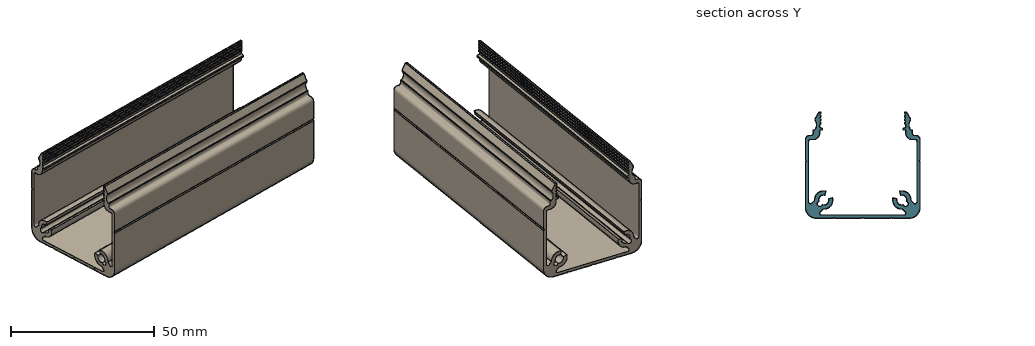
import cadquery as cq
import math

length = 100.0
width = 40.0
height = 37.0
wall = 1.2
corner_radius = 4.0

left = -width / 2
wall_inside = left + wall

shoulder_top = 28.9
shoulder_bottom = 27.4
shoulder_radius = 1.5
shoulder_inner_radius = 0.5
elbow_radius = 2.4

lip_inside = -14.9
lip_outside = -17.3
lip_step = 30.7
step_fillet = 0.7
barb_tip = -16.7
barb_bottom = 34.2
barb_top = 34.5
tip_outside = -15.3
neck_foot = -16.9
neck_waist = -16.1

prong_tip = -14.0
prong_bottom = 30.7
prong_tip_top = 31.3
prong_root_top = 31.7
pad_face = -14.6
pad_bottom = 32.8
serration_top = 36.1
serration_pitch = 1.2
serration_count = 3
serration_half_height = 0.35

port_offset = 6.4
port_radius = 1.7
port_outer_radius = 3.2
port_opening = 60.0
relief_offset = 5.1
relief_radius = 0.9
pocket_radius = 0.6
pocket_end = 5.1

groove_depth = 0.3
groove_half_width = 0.4
wall_groove_height = 20.0
floor_groove_spacing = 10.0


def profile_plane():
    """XZ workplane at the +Y end, so extruding by the length centres the part on Y."""
    return cq.Workplane("XZ", origin=(0, length / 2, 0))


def prism(points):
    return profile_plane().polyline(points).close().extrude(length)


def rod(x, z, radius):
    return profile_plane().center(x, z).circle(radius).extrude(length)


def polar(center, radius, degrees):
    """Point on a circle, with the angle counted from +X toward +Z."""
    angle = math.radians(degrees)
    return (center[0] + radius * math.cos(angle), center[1] + radius * math.sin(angle))


def make_half_outline():
    """Half floor, corner web, side wall, shoulder and lip as one closed outline."""
    corner = (left + corner_radius, corner_radius)
    shoulder = (left + shoulder_radius, shoulder_top - shoulder_radius)
    step = (lip_outside - step_fillet, shoulder_top + step_fillet)
    elbow = (lip_inside - elbow_radius, shoulder_bottom + elbow_radius)
    inner = (wall_inside + shoulder_inner_radius, shoulder_bottom - shoulder_inner_radius)
    neck_middle = (neck_waist, (barb_bottom + lip_step) / 2)

    pocket_near = wall + pocket_radius
    pocket_far = pocket_end + pocket_radius
    wall_pocket = (left + pocket_near, pocket_far)
    floor_pocket = (left + pocket_far, pocket_near)
    port = (left + port_offset, port_offset)
    wall_web = polar(wall_pocket, pocket_radius, 315)
    floor_web = polar(floor_pocket, pocket_radius, 135)
    web_rise = port_offset - wall_web[1]

    return (
        profile_plane()
        .moveTo(0, 0)
        .lineTo(corner[0], 0)
        .threePointArc(polar(corner, corner_radius, 225), (left, corner[1]))
        .lineTo(left, shoulder[1])
        .threePointArc(polar(shoulder, shoulder_radius, 135), (shoulder[0], shoulder_top))
        .lineTo(step[0], shoulder_top)
        .threePointArc(polar(step, step_fillet, 315), (lip_outside, step[1]))
        .lineTo(lip_outside, lip_step)
        .lineTo(neck_foot, lip_step)
        .threePointArc(neck_middle, (barb_tip, barb_bottom))
        .lineTo(barb_tip, barb_top)
        .lineTo(tip_outside, height)
        .lineTo(pad_face, height)
        .lineTo(pad_face, pad_bottom)
        .lineTo(lip_inside, pad_bottom)
        .lineTo(lip_inside, prong_root_top)
        .lineTo(prong_tip, prong_tip_top)
        .lineTo(prong_tip, prong_bottom)
        .lineTo(lip_inside, prong_bottom)
        .lineTo(lip_inside, elbow[1])
        .threePointArc(polar(elbow, elbow_radius, 315), (elbow[0], shoulder_bottom))
        .lineTo(inner[0], shoulder_bottom)
        .threePointArc(polar(inner, shoulder_inner_radius, 135), (wall_inside, inner[1]))
        .lineTo(wall_inside, pocket_far)
        .threePointArc(polar(wall_pocket, pocket_radius, 247.5), wall_web)
        .lineTo(wall_web[0] + web_rise, port[1])
        .lineTo(*port)
        .lineTo(port[0], floor_web[1] + web_rise)
        .lineTo(*floor_web)
        .threePointArc(polar(floor_pocket, pocket_radius, 202.5), (floor_pocket[0], wall))
        .lineTo(0, wall)
        .close()
        .extrude(length)
    )


def add_screw_port(body):
    """Open C-shaped screw port facing 45 degrees into the channel, with a relief at its root."""
    port = (left + port_offset, port_offset)
    opening_reach = 2 * port_outer_radius
    opening = prism([
        port,
        polar(port, opening_reach, 45 - port_opening / 2),
        polar(port, opening_reach, 45 + port_opening / 2),
    ])
    body = body.union(rod(*port, port_outer_radius))
    body = body.cut(rod(*port, port_radius)).cut(opening)
    return body.cut(rod(left + relief_offset, relief_offset, relief_radius))


def cut_serrations(body):
    """V notches across the inner pad of the lip."""
    for index in range(serration_count):
        z = serration_top - index * serration_pitch
        body = body.cut(prism([
            (pad_face, z - serration_half_height),
            (lip_inside, z),
            (pad_face, z + serration_half_height),
        ]))
    return body


def cut_marking_grooves(body):
    """V grooves along the outer side wall and the underside of the floor."""
    body = body.cut(prism([
        (left, wall_groove_height - groove_half_width),
        (left + groove_depth, wall_groove_height),
        (left, wall_groove_height + groove_half_width),
    ]))
    for x in (0, -floor_groove_spacing):
        body = body.cut(prism([
            (x - groove_half_width, 0),
            (x, groove_depth),
            (x + groove_half_width, 0),
        ]))
    return body


half = add_screw_port(make_half_outline())
half = cut_serrations(half)
half = cut_marking_grooves(half)
result = half.union(half.mirror("YZ"))